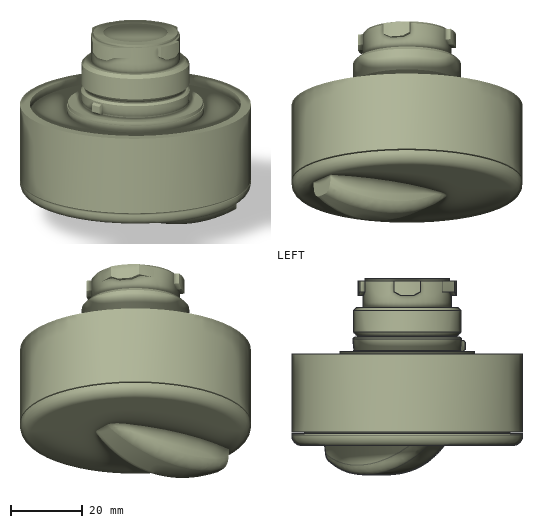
import cadquery as cq
import math


body_radius = 32.3
plate_top = 3.3
plate_round = 2.8
gap_radius = 28.8
drum_bottom = 3.75
drum_top = 25.6
recess_radius = 29.5
recess_floor = 23.3

flange_radius = 19.1
flange_step_radius = 18.85
flange_step_z = 25.25
flange_top = 26.3

ring_foot_radius = 15.1
ring_foot_height = 0.3
ring_waist_radius = 14.9
ring_radius = 15.25
ring_edge_z = 29.8
ring_top = 30.35
groove_radius = 13.95
collar_bottom = 30.6
collar_radius = 15.05
collar_chamfer_height = 1.1
collar_top_chamfer = 0.9
collar_top = 38.6
head_radius = 12.4
head_top = 46.0
cap_radius = 11.8
cap_top = 46.65
dimple_radius = 8.9
dimple_depth = 0.2

lug_radius = 13.75
lug_half_width = 3.7
lug_bottom = 41.9
lug_side_bottom = 42.95
lug_flat_half_width = 1.8
wide_lug_tip_half_width = 4.0
wide_lug_root_half_width = 7.55

key_width = 2.9
key_reach = 16.3
key_top = 29.4
key_chamfer = 0.6

grip_angle = 45.0
grip_depth = 8.3
grip_start = -11.1
grip_lowest = 12.4
grip_end = 28.1
grip_widest = 8.1
grip_half_width = 8.15
grip_side_radius = 58.15
grip_draft = 8.0
grip_round = 3.15


def ring_of_revolution(points):
    """Solid turned about Z from (radius, height) points."""
    return cq.Workplane("XZ").polyline(points).close().revolve(360, (0, 0, 0), (0, 1, 0))


def disc(radius, bottom, top):
    return cq.Workplane("XY").workplane(offset=bottom).circle(radius).extrude(top - bottom)


def make_body():
    plate = disc(body_radius, 0, plate_top).faces("<Z").edges().fillet(plate_round)
    gap = disc(gap_radius, plate_top, drum_bottom)
    drum = disc(body_radius, drum_bottom, drum_top).cut(disc(recess_radius, recess_floor, drum_top))
    return plate.union(gap).union(drum)


def make_neck():
    neck = ring_of_revolution([
        (0, recess_floor),
        (flange_radius, recess_floor),
        (flange_radius, flange_step_z),
        (flange_step_radius, flange_step_z),
        (flange_step_radius, flange_top),
        (ring_foot_radius, flange_top),
        (ring_waist_radius, flange_top + ring_foot_height),
        (ring_radius, ring_edge_z),
        (ring_radius - (ring_top - ring_edge_z), ring_top),
        (groove_radius, ring_top),
        (groove_radius, collar_bottom),
        (collar_radius, collar_bottom + collar_chamfer_height),
        (collar_radius, collar_top - collar_top_chamfer),
        (collar_radius - collar_top_chamfer, collar_top),
        (head_radius, collar_top),
        (head_radius, head_top),
        (cap_radius, head_top),
        (cap_radius, cap_top),
        (0, cap_top),
    ])
    return neck.cut(disc(dimple_radius, cap_top - dimple_depth, cap_top))


def lug_front(half_width):
    """Lug outline seen along its radius, swept outwards from the Z axis towards -Y."""
    outline = [
        (-half_width, head_top),
        (-half_width, lug_side_bottom),
        (-lug_flat_half_width, lug_bottom),
        (lug_flat_half_width, lug_bottom),
        (half_width, lug_side_bottom),
        (half_width, head_top),
    ]
    return cq.Workplane("XZ").polyline(outline).close().extrude(lug_radius)


def make_wide_lug():
    """Lug towards -Y whose slanting flanks run out on the head."""
    root_y = -math.sqrt(head_radius**2 - wide_lug_root_half_width**2)
    tip_y = -math.sqrt(lug_radius**2 - wide_lug_tip_half_width**2)
    plan = [
        (0, 0),
        (-wide_lug_root_half_width, root_y),
        (-wide_lug_tip_half_width, tip_y),
        (-wide_lug_tip_half_width, -lug_radius),
        (wide_lug_tip_half_width, -lug_radius),
        (wide_lug_tip_half_width, tip_y),
        (wide_lug_root_half_width, root_y),
    ]
    upper = cq.Workplane("XY").workplane(offset=lug_side_bottom).polyline(plan).close()
    upper = upper.extrude(head_top - lug_side_bottom)
    return upper.union(lug_front(wide_lug_tip_half_width))


def make_lugs():
    lug_disc = disc(lug_radius, lug_bottom, head_top)
    narrow = lug_front(lug_half_width).intersect(lug_disc)
    lugs = cq.Workplane("XY")
    for angle in (90, 180, 270):
        lugs = lugs.union(narrow.rotate((0, 0, 0), (0, 0, 1), angle))
    return lugs.union(make_wide_lug().intersect(lug_disc))


def make_key():
    key = cq.Workplane("XY").workplane(offset=flange_top)
    key = key.center(0, -(groove_radius + key_reach) / 2)
    key = key.rect(key_width, key_reach - groove_radius).extrude(key_top - flange_top)
    return key.faces("<Y").edges("|X").chamfer(key_chamfer)


def make_grip():
    """Drafted bar with bowed sides, an arched underside and a flat outer end."""
    half_run = grip_end - grip_widest + grip_round
    end_half_width = grip_half_width - grip_side_radius + math.sqrt(grip_side_radius**2 - half_run**2)
    bar = (
        cq.Workplane("XY", origin=(grip_widest, 0, 0))
        .moveTo(-half_run, -end_half_width)
        .threePointArc((0, -grip_half_width), (half_run, -end_half_width))
        .lineTo(half_run, end_half_width)
        .threePointArc((0, grip_half_width), (-half_run, end_half_width))
        .close()
        .extrude(-grip_depth, taper=grip_draft)
    )
    arch_half_run = grip_lowest - grip_start
    arch_radius = (arch_half_run**2 + grip_depth**2) / (2 * grip_depth)
    arch_centre_z = arch_radius - grip_depth
    end_z = arch_centre_z - math.sqrt(arch_radius**2 - (grip_end - grip_lowest)**2)
    side = (
        cq.Workplane("XZ")
        .moveTo(grip_start, 0)
        .threePointArc((grip_lowest, -grip_depth), (grip_end, end_z))
        .lineTo(grip_end, 0)
        .close()
        .extrude(grip_half_width, both=True)
    )
    grip = bar.intersect(side)
    arch_face = grip.faces(cq.selectors.NearestToPointSelector((grip_lowest, 0, -grip_depth)))
    grip = arch_face.edges("not |Y").fillet(grip_round)
    return grip.rotate((0, 0, 0), (0, 0, 1), grip_angle)


result = make_body().union(make_neck()).union(make_lugs()).union(make_key()).union(make_grip())